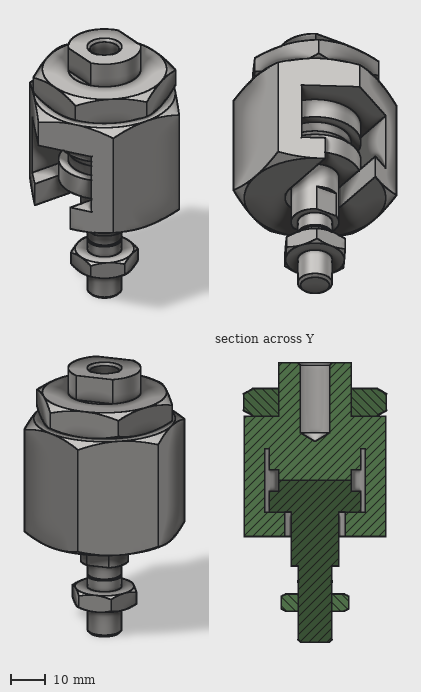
import cadquery as cq
import math


z_nut_bottom = 9.0
z_collar_bottom = 22.1
z_housing_bottom = 30.6
z_slot_floor = 37.75
z_slot_ceiling = 56.05
z_housing_top = 65.5
z_top = 81.0

housing_flats = 41.0
slot_width = 29.0
slot_neck_width = 17.3
boss_diameter = 21.1
boss_flats = 17.9
pad_diameter = 26.6
pad_height = 6.1
bore_diameter = 8.4
bore_mouth_diameter = 10.05
bore_depth = 20.25
drill_angle = 118.0

lock_nut_flats = 36.0
lock_nut_height = 8.0
z_lock_nut_top = z_housing_top + lock_nut_height

thread_diameter = 10.0
collar_diameter = 13.85
collar_flats = 12.1
collar_flats_height = 7.85
tip_chamfer = 0.8
groove_bottom = 17.4
groove_width = 0.5
groove_depth = 0.2
z_meeting = (z_slot_floor + z_slot_ceiling) / 2

thin_nut_flats = 17.0
thin_nut_height = 5.1

hex_chamfer_angle = 30.0
side_corners = 90.0


def cylinder(diameter, z_low, z_high):
    return cq.Workplane("XY").workplane(offset=z_low).circle(diameter / 2).extrude(z_high - z_low)


def chamfered_hexagon(flats, z_low, z_high, turn=0.0):
    """Hexagonal prism with conical chamfers; its corners are on the X axis before turning."""
    corner_radius = flats / math.sqrt(3)
    drop = (corner_radius - flats / 2) * math.tan(math.radians(hex_chamfer_angle))
    prism = (
        cq.Workplane("XY")
        .workplane(offset=z_low)
        .polygon(6, 2 * corner_radius)
        .extrude(z_high - z_low)
        .rotate((0, 0, 0), (0, 0, 1), turn)
    )
    envelope = (
        cq.Workplane("XZ")
        .moveTo(0, z_low)
        .lineTo(flats / 2, z_low)
        .lineTo(corner_radius, z_low + drop)
        .lineTo(corner_radius, z_high - drop)
        .lineTo(flats / 2, z_high)
        .lineTo(0, z_high)
        .close()
        .revolve(360, (0, 0, 0), (0, 1, 0))
    )
    return prism.intersect(envelope)


def flatted_cylinder(diameter, flats, z_low, z_high):
    """Cylinder with two parallel flats facing -Y and +Y."""
    height = z_high - z_low
    slab = cq.Workplane("XY").box(diameter, flats, height, centered=(True, True, False))
    return cylinder(diameter, z_low, z_high).intersect(slab.translate((0, 0, z_low)))


def side_slot(width, z_low, z_high):
    """Slot open toward -Y, with a round end centred on the Z axis."""
    channel = cq.Workplane("XY").box(
        width, housing_flats, z_high - z_low, centered=(True, False, False)
    )
    return cylinder(width, z_low, z_high).union(channel.translate((0, -housing_flats, z_low)))


def tapped_bore():
    """Blind drilled hole from the top, with a countersunk mouth and a conical end."""
    radius = bore_diameter / 2
    mouth_radius = bore_mouth_diameter / 2
    countersink = mouth_radius - radius
    point_height = radius / math.tan(math.radians(drill_angle / 2))
    z_end = z_top - bore_depth
    return (
        cq.Workplane("XZ")
        .moveTo(0, z_top)
        .lineTo(mouth_radius, z_top)
        .lineTo(radius, z_top - countersink)
        .lineTo(radius, z_end)
        .lineTo(0, z_end - point_height)
        .close()
        .revolve(360, (0, 0, 0), (0, 1, 0))
    )


def make_housing():
    body = chamfered_hexagon(housing_flats, z_housing_bottom, z_housing_top, side_corners)
    body = body.cut(side_slot(slot_neck_width, z_housing_bottom, z_slot_floor))
    body = body.cut(side_slot(slot_width, z_slot_floor, z_slot_ceiling))
    body = body.union(cylinder(pad_diameter, z_slot_ceiling - pad_height, z_slot_ceiling))
    body = body.union(cylinder(boss_diameter, z_meeting, z_slot_ceiling))
    body = body.union(cylinder(boss_diameter, z_housing_top, z_lock_nut_top))
    body = body.union(flatted_cylinder(boss_diameter, boss_flats, z_lock_nut_top, z_top))
    return body.cut(tapped_bore())


def make_lock_nut():
    nut = chamfered_hexagon(lock_nut_flats, z_housing_top, z_lock_nut_top)
    return nut.cut(cylinder(boss_diameter, z_housing_top, z_lock_nut_top))


def make_stud():
    z_flats_top = z_collar_bottom + collar_flats_height
    thread = cylinder(thread_diameter, 0, z_collar_bottom).faces("<Z").chamfer(tip_chamfer)
    groove_top = groove_bottom + groove_width
    groove = cylinder(thread_diameter, groove_bottom, groove_top).cut(
        cylinder(thread_diameter - 2 * groove_depth, groove_bottom, groove_top)
    )
    return (
        thread.cut(groove)
        .union(flatted_cylinder(collar_diameter, collar_flats, z_collar_bottom, z_flats_top))
        .union(cylinder(collar_diameter, z_flats_top, z_slot_floor))
        .union(cylinder(pad_diameter, z_slot_floor, z_slot_floor + pad_height))
        .union(cylinder(boss_diameter, z_slot_floor + pad_height, z_meeting))
    )


def make_thin_nut():
    z_nut_top = z_nut_bottom + thin_nut_height
    nut = chamfered_hexagon(thin_nut_flats, z_nut_bottom, z_nut_top)
    return nut.cut(cylinder(thread_diameter, z_nut_bottom, z_nut_top))


housing = make_housing()
lock_nut = make_lock_nut()
stud = make_stud()
thin_nut = make_thin_nut()

result = cq.Compound.makeCompound([housing.val(), lock_nut.val(), stud.val(), thin_nut.val()])